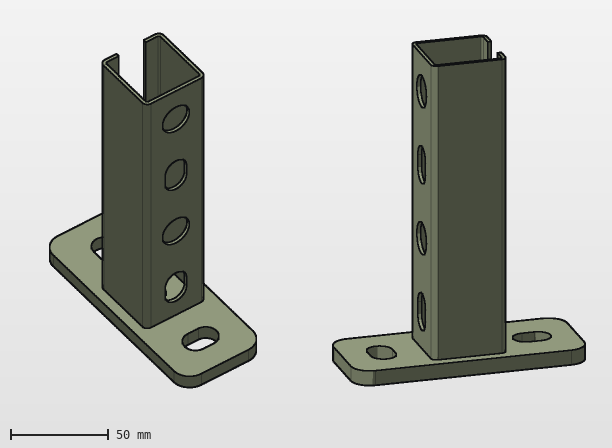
import cadquery as cq

plate_length = 125.0
plate_width = 50.0
plate_thickness = 8.0
plate_corner_radius = 10.0

total_height = 168.0
post_depth = 40.0
post_width = 38.0
wall = 2.0
bend_radius = 3.0
mouth_width = 17.1
post_height = total_height - plate_thickness

slot_length = 20.0
slot_width = 13.5
slot_offset_left = 39.0
slot_offset_right = 41.5
center_hole_diameter = 13.5

back_hole_diameter = 17.0
back_pitch = 40.0
first_back_slot_height = 20.0
back_opening_pairs = 2


def make_plate():
    plate = (
        cq.Workplane("XY")
        .box(plate_length, plate_width, plate_thickness, centered=(True, True, False))
        .edges("|Z")
        .fillet(plate_corner_radius)
    )
    floor = cq.Workplane("XY")
    center_hole = floor.circle(center_hole_diameter / 2).extrude(plate_thickness)
    left_slot = floor.center(-slot_offset_left, 0).slot2D(slot_length, slot_width).extrude(plate_thickness)
    right_slot = floor.center(slot_offset_right, 0).slot2D(slot_length, slot_width, 90).extrude(plate_thickness)
    return plate.cut(center_hole).cut(left_slot).cut(right_slot)


def rounded_prism(depth, width, radius):
    return (
        cq.Workplane("XY", origin=(0, 0, plate_thickness))
        .rect(depth, width)
        .extrude(post_height)
        .edges("|Z")
        .fillet(radius)
    )


def make_post():
    outside = rounded_prism(post_depth, post_width, bend_radius)
    inside = rounded_prism(post_depth - 2 * wall, post_width - 2 * wall, bend_radius - wall)
    mouth = cq.Workplane("XY").box(post_depth / 2, mouth_width, post_height, centered=False)
    mouth = mouth.translate((-post_depth / 2, -mouth_width / 2, plate_thickness))
    return outside.cut(inside).cut(mouth)


def cut_back_openings(post):
    center_plane = cq.Workplane("YZ")
    for pair in range(back_opening_pairs):
        slot_height = plate_thickness + first_back_slot_height + 2 * pair * back_pitch
        hole_height = slot_height + back_pitch
        slot = center_plane.center(0, slot_height).slot2D(slot_length, slot_width, 90).extrude(post_depth)
        hole = center_plane.center(0, hole_height).circle(back_hole_diameter / 2).extrude(post_depth)
        post = post.cut(slot).cut(hole)
    return post


result = make_plate().union(cut_back_openings(make_post()))